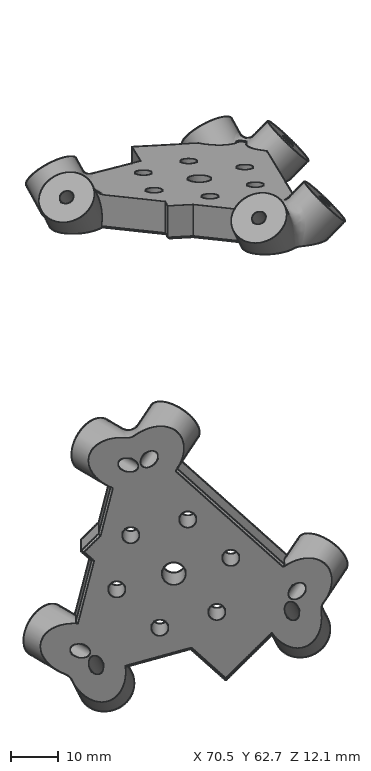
import cadquery as cq
import math

plate_height = 7.4
edge_distance = 17.4
corner_distance = 26.5
bottom_chamfer = 0.5
rectangle_turn = 30
rectangle_left = 9.95
rectangle_right = edge_distance
rectangle_top = 24.55
rectangle_bottom = 17.5

centre_hole_diameter = 5.0
ring_hole_diameter = 3.6
ring_radius = 12.5
ring_hole_count = 6

overall_height = 12.05
socket_diameter = 12
socket_bore = 3.0
socket_tilt = 45
socket_offset = 21.45
socket_reach = 22.85
corner_spacing = 120
blended_corner_turns = (corner_spacing, 2 * corner_spacing)
corner_turns = (0,) + blended_corner_turns
blend_radius = 2.5

relief_radius = 1.2
relief_distance = 26.1

tilt = math.radians(socket_tilt)
face_height = overall_height - socket_diameter / 2 * math.sin(tilt)
socket_length = 2 * overall_height / math.cos(tilt)
beyond_part = 4 * edge_distance
clearance = 0.01


def turn(body, angle):
    return body.rotate((0, 0, 0), (0, 0, 1), angle)


def triangle(inner_radius):
    """Equilateral prism with a corner on +X; its corners lie twice as far out as its sides."""
    corner_radius = 2 * inner_radius
    return cq.Workplane("XY").polygon(3, 2 * corner_radius).extrude(plate_height)


def make_plate():
    sides = turn(triangle(edge_distance), 90)
    corner_cuts = turn(triangle(corner_distance), -90)
    rectangle = (
        cq.Workplane("XY")
        .moveTo(-rectangle_left, -rectangle_bottom)
        .lineTo(rectangle_right, -rectangle_bottom)
        .lineTo(rectangle_right, rectangle_top)
        .lineTo(-rectangle_left, rectangle_top)
        .close()
        .extrude(plate_height)
    )
    plate = sides.union(turn(rectangle, rectangle_turn)).intersect(corner_cuts)
    return plate.faces("<Z").chamfer(bottom_chamfer)


def socket_cylinder(side, diameter):
    """Cylinder left (side -1) or right (side 1) of the +Y corner, from its face down past the base."""
    face_middle = cq.Vector(side * socket_offset, -socket_reach, face_height)
    inward = cq.Vector(0, math.sin(tilt), -math.cos(tilt))
    cylinder = cq.Solid.makeCylinder(diameter / 2, socket_length, face_middle, inward)
    return turn(cq.Workplane(cylinder), side * corner_spacing)


def make_socket_pair():
    """Two sockets joined at the +Y corner, cut flat at the base, with a rounded valley between them."""
    above_base = cq.Workplane("XY").circle(beyond_part).extrude(overall_height)
    pair = socket_cylinder(-1, socket_diameter).intersect(above_base)
    pair = pair.union(socket_cylinder(1, socket_diameter).intersect(above_base))
    valley = cq.selectors.BoxSelector(
        (-clearance, 0, -clearance), (clearance, beyond_part, overall_height)
    )
    return pair.edges(valley).fillet(blend_radius)


def blend_corner(body, angle):
    """Fillet between the plate top and the smooth line of the two sockets and their valley."""
    direction = math.radians(90 + angle)
    corner = (
        corner_distance * math.cos(direction),
        corner_distance * math.sin(direction),
        plate_height,
    )
    return body.edges(cq.selectors.NearestToPointSelector(corner)).fillet(blend_radius)


result = make_plate()
socket_pair = make_socket_pair()
for angle in corner_turns:
    result = result.union(turn(socket_pair, angle))
for angle in blended_corner_turns:
    result = blend_corner(result, angle)

for angle in corner_turns:
    for side in (-1, 1):
        result = result.cut(turn(socket_cylinder(side, socket_bore), angle))

relief = (
    cq.Workplane("XY", origin=(0, relief_distance, plate_height))
    .circle(relief_radius)
    .extrude(overall_height - plate_height)
)
centre_hole = cq.Workplane("XY").circle(centre_hole_diameter / 2).extrude(plate_height)
ring_holes = (
    cq.Workplane("XY")
    .polarArray(ring_radius, 0, 360, ring_hole_count)
    .circle(ring_hole_diameter / 2)
    .extrude(plate_height)
)
result = result.cut(relief).cut(centre_hole).cut(ring_holes)